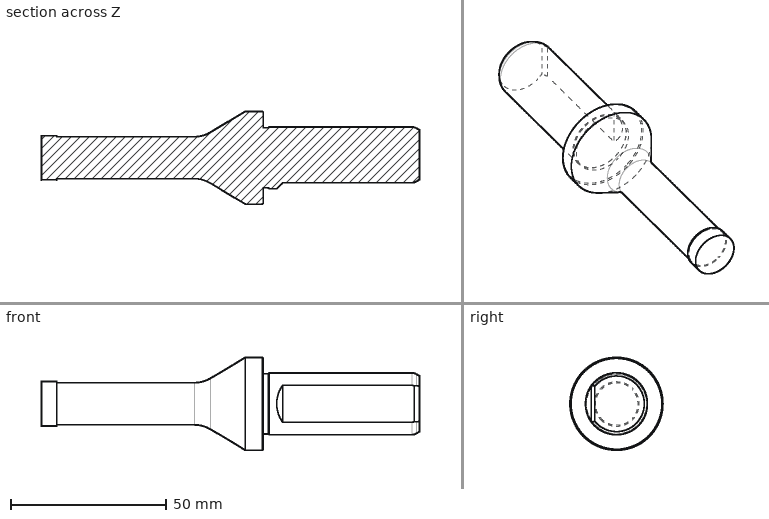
import cadquery as cq
import math

total_length = 122.0
tip_length = 5.0
tip_radius = 7.2
neck_radius = 6.8

collar_start = 65.7
collar_end = 71.6
collar_radius = 15.0
collar_chamfer = 0.4
cone_angle = math.radians(31)
blend_radius = 10.0

shank_radius = 10.0
relief_depth = 0.2
relief_end = 73.2

lead_angle = math.radians(30)
lead_arc_radius = 2.9
lead_cone_length = 1.1

flat_offset = 8.0
flat_start = 77.8
flat_end = 120.1


def arc_offset(radius, angle):
    """Axial and radial travel along an arc that starts parallel to the axis."""
    return radius * math.sin(angle), radius * (1 - math.cos(angle))


def turned_body():
    blend_length, blend_rise = arc_offset(blend_radius, cone_angle)
    blend_mid_length, blend_mid_rise = arc_offset(blend_radius, cone_angle / 2)
    cone_start_radius = neck_radius + blend_rise
    cone_start = collar_start - (collar_radius - cone_start_radius) / math.tan(cone_angle)
    blend_start = cone_start - blend_length

    arc_length, arc_drop = arc_offset(lead_arc_radius, lead_angle)
    arc_mid_length, arc_mid_drop = arc_offset(lead_arc_radius, lead_angle / 2)
    lead_cone_start = total_length - lead_cone_length
    lead_arc_start = lead_cone_start - arc_length
    lead_cone_radius = shank_radius - arc_drop
    end_radius = lead_cone_radius - lead_cone_length * math.tan(lead_angle)
    relief_radius = shank_radius - relief_depth

    profile = (
        cq.Workplane("XY")
        .moveTo(0, 0)
        .lineTo(0, tip_radius)
        .lineTo(tip_length, tip_radius)
        .lineTo(tip_length, neck_radius)
        .lineTo(blend_start, neck_radius)
        .threePointArc(
            (blend_start + blend_mid_length, neck_radius + blend_mid_rise),
            (cone_start, cone_start_radius),
        )
        .lineTo(collar_start, collar_radius)
        .lineTo(collar_end - collar_chamfer, collar_radius)
        .lineTo(collar_end, collar_radius - collar_chamfer)
        .lineTo(collar_end, relief_radius)
        .lineTo(relief_end, relief_radius)
        .lineTo(relief_end + relief_depth, shank_radius)
        .lineTo(lead_arc_start, shank_radius)
        .threePointArc(
            (lead_arc_start + arc_mid_length, shank_radius - arc_mid_drop),
            (lead_cone_start, lead_cone_radius),
        )
        .lineTo(total_length, end_radius)
        .lineTo(total_length, 0)
        .close()
    )
    return profile.revolve(360, (0, 0, 0), (1, 0, 0))


def flat_cutter():
    """Material removed by the flat, its entry ramp and its sloped end."""
    ramp_length = shank_radius - flat_offset
    end_drop = (total_length - flat_end) * math.tan(lead_angle)
    return (
        cq.Workplane("XY")
        .moveTo(flat_start - ramp_length, -shank_radius)
        .lineTo(flat_start, -flat_offset)
        .lineTo(flat_end, -flat_offset)
        .lineTo(total_length, -flat_offset + end_drop)
        .lineTo(total_length, -shank_radius)
        .close()
        .extrude(shank_radius, both=True)
    )


result = turned_body().cut(flat_cutter())